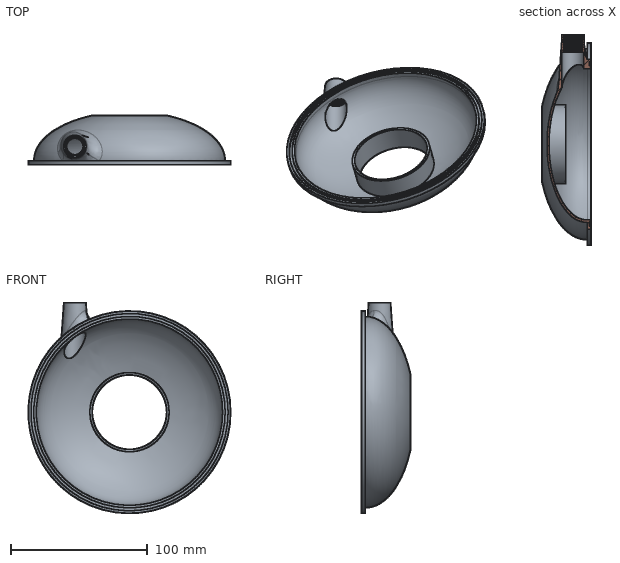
import cadquery as cq
import math

overall_height = 154.0

flange_diameter = 148.0
flange_radius = flange_diameter / 2
flange_thickness = 3.1
groove_outer_radius = 72.0
groove_inner_radius = 69.9
groove_depth = 1.2

dome_outer_radius = 69.9
dome_outer_rise = 35.9
wall = 1.8
dome_inner_radius = dome_outer_radius - wall
dome_inner_rise = dome_outer_rise - wall
crown_y = 36.2

tube_inner_radius = 27.1
tube_outer_radius = tube_inner_radius + wall
tube_end_y = 18.6

spout_x = -39.9
spout_y = 13.4
spout_top_z = overall_height - flange_radius
spout_top_radius = 8.2
spout_taper = 4.0
spout_length = 46.2
spout_fillet = 9.2
joint_reach = 15.4
joint_margin = 1.5
skirt_length = 15.4
thread_crest_radius = 6.0
bore_radius = 7.9
bore_length = 55.5
thread_root_radius = 7.0
thread_pitch = 1.8
thread_count = 7


def cylinder(radius, start_y, end_y):
    """Solid cylinder about the Y axis."""
    return cq.Workplane("XZ", origin=(0, start_y, 0)).circle(radius).extrude(start_y - end_y)


def half_ellipsoid(radius, rise):
    """Ellipsoid half standing on the back of the flange, before the crown is trimmed."""
    return (
        cq.Workplane("XY")
        .moveTo(0, flange_thickness)
        .lineTo(radius, flange_thickness)
        .ellipseArc(radius, rise, 0, 90, startAtCurrent=True)
        .close()
        .revolve(360, (0, 0, 0), (0, 1, 0))
    )


def spout_blank():
    """Tapered body that widens downwards from the spout mouth."""
    base_radius = spout_top_radius + spout_length * math.tan(math.radians(spout_taper))
    cone = cq.Solid.makeCone(
        spout_top_radius,
        base_radius,
        spout_length,
        cq.Vector(spout_x, spout_y, spout_top_z),
        cq.Vector(0, 0, -1),
    )
    return cq.Workplane(cone)


def spout_bore():
    """Bore into the dome, with V-shaped rings standing in for the thread near the mouth."""
    profile = cq.Workplane("XZ", origin=(spout_x, spout_y, spout_top_z))
    profile = profile.lineTo(thread_root_radius, 0)
    for turn in range(thread_count):
        turn_top = -turn * thread_pitch
        profile = profile.lineTo(thread_crest_radius, turn_top - thread_pitch / 2)
        profile = profile.lineTo(thread_root_radius, turn_top - thread_pitch)
    profile = profile.lineTo(bore_radius, -thread_count * thread_pitch)
    profile = profile.lineTo(bore_radius, -bore_length).lineTo(0, -bore_length).close()
    return profile.revolve(360, (0, 0, 0), (0, 1, 0))


dome = half_ellipsoid(dome_outer_radius, dome_outer_rise)
dome = dome.intersect(cylinder(flange_radius, flange_thickness, crown_y))
dome = dome.union(cylinder(dome_outer_radius, -skirt_length, flange_thickness))

body = dome.union(spout_blank())
joint_box = cq.selectors.BoxSelector(
    (spout_x - joint_reach, -skirt_length / 2, spout_top_z - spout_length + joint_margin),
    (spout_x + joint_reach, crown_y - joint_margin, spout_top_z - joint_margin),
    boundingbox=True,
)
body = body.edges(joint_box).fillet(spout_fillet)
body = body.intersect(cylinder(overall_height, 0, crown_y))

body = body.union(cylinder(flange_radius, 0, flange_thickness))
cavity = half_ellipsoid(dome_inner_radius, dome_inner_rise)
cavity = cavity.union(cylinder(dome_inner_radius, 0, flange_thickness))
body = body.cut(cavity)
body = body.union(cylinder(tube_outer_radius, tube_end_y, crown_y).intersect(dome))
body = body.cut(cylinder(tube_inner_radius, 0, crown_y))
groove = cylinder(groove_outer_radius, 0, groove_depth).cut(cylinder(groove_inner_radius, 0, groove_depth))
result = body.cut(groove).cut(spout_bore())